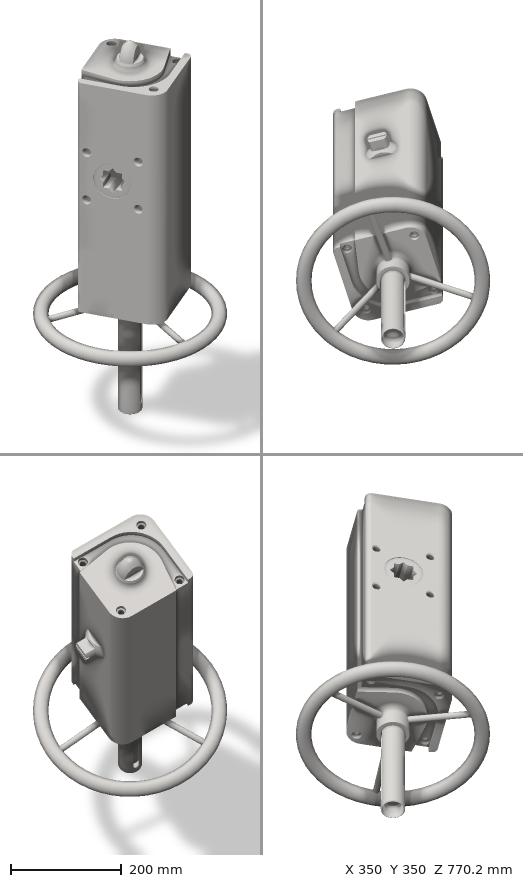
import cadquery as cq
import math

HOUSING_LENGTH = 480.0
PINION_TO_TOP = 193.0
TOP_Z = PINION_TO_TOP
BOTTOM_Z = TOP_Z - HOUSING_LENGTH
NEAR_SIDE = 75.5
NEAR_STEP = 69.0
FAR_SIDE = 95.0
BIG_CORNER_RADIUS = 30.0
SMALL_CORNER_RADIUS = 10.0

CHANNEL_DEPTH = 12.0
PLATEAU_RADIUS = 62.5
PLATEAU_TILT = math.radians(10)
CHANNEL_OUTER_SIDE = 80.0
CHANNEL_OUTER_RADIUS = 70.0

SCREW_OFFSET = 7.5
SCREW_HALF_PITCH = 63.0
SCREW_HEAD_DIAMETER = 18.0
SCREW_HEAD_DEPTH = 8.0
SCREW_CORE_DIAMETER = 11.45
SCREW_DEPTH = 25.0

MOUNT_CIRCLE_DIAMETER = 140.0
MOUNT_HALF_PITCH = MOUNT_CIRCLE_DIAMETER / 2 * math.sin(math.radians(45))
MOUNT_CORE_DIAMETER = 13.84
MOUNT_RIM_DIAMETER = 18.0
MOUNT_DEPTH = 24.0
DRILL_POINT_SLOPE = math.radians(31)
DRILL_POINT_DEPTH = MOUNT_CORE_DIAMETER / 2 * math.tan(DRILL_POINT_SLOPE)

KNOB_DIAMETER = 53.0
KNOB_BLEND_RADIUS = 8.0
KNOB_BASE_HEIGHT = 13.5
KNOB_TIP_HEIGHT = 44.7
KNOB_HEIGHT = 47.7
KNOB_TIP_DIAMETER = 13.84
KNOB_LEDGE_RADIUS = 24.0
KNOB_MID_RADIUS = 17.3
KNOB_MID_HEIGHT = 33.0
GRIP_WIDTH = 26.0

HUB_DIAMETER = 60.0
HUB_BLEND_DIAMETER = 75.6
HUB_BLEND_RADIUS = (HUB_BLEND_DIAMETER - HUB_DIAMETER) / 2
RIM_OUTER_DIAMETER = 350.0
RIM_SECTION_DIAMETER = 28.0
RIM_RADIUS = (RIM_OUTER_DIAMETER - RIM_SECTION_DIAMETER) / 2
RIM_Z = BOTTOM_Z - 43.3
RIM_SEAM_ANGLE = 30.0
HUB_BOTTOM_Z = RIM_Z
SPOKE_DIAMETER = 12.0
SPOKE_COUNT = 3
SPOKE_FIRST_ANGLE = 90.0
SPOKE_START_RADIUS = 20.0
SPOKE_START_Z = BOTTOM_Z - 13.0
SPOKE_END_Z = RIM_Z + 1.0
STEM_DIAMETER = 44.0
STEM_BORE_DIAMETER = 40.0
STEM_LENGTH = 242.5
STEM_BOTTOM_Z = BOTTOM_Z - STEM_LENGTH
STEM_CHAMFER = 1.5
ROD_DIAMETER = 39.0
ROD_END_GAP = 31.5
SLOT_WIDTH = 12.0
SLOT_END_GAP = 17.0

PINION_DIAMETER = 72.0
PINION_RECESS = 1.5
PINION_FRONT_Y = PINION_RECESS - FAR_SIDE
NECK_DIAMETER = 44.0
NECK_LENGTH = 20.0
SQUARE_ACROSS_FLATS = 36.0
SQUARE_DEPTH = 40.0
COLLAR_BASE_DIAMETER = 60.0
COLLAR_FLAT_WIDTH = 40.0
COLLAR_HEIGHT = 10.0
DRIVE_DIAMETER = 36.0
DRIVE_ACROSS_FLATS = 24.0
PINION_PROJECTION = 30.0
SCREW_SLOT_WIDTH = 4.0
SCREW_SLOT_DEPTH = 6.0


def cylinder_along_y(diameter, start_y, end_y):
    base = cq.Workplane("XZ", origin=(0, start_y, 0))
    return base.circle(diameter / 2).extrude(start_y - end_y)


def cylinder_along_z(diameter, start_z, end_z):
    return cq.Workplane("XY", origin=(0, 0, start_z)).circle(diameter / 2).extrude(end_z - start_z)


TANGENT_LONG = PLATEAU_RADIUS * math.cos(PLATEAU_TILT)
TANGENT_SHORT = PLATEAU_RADIUS * math.sin(PLATEAU_TILT)
ARC_MID = PLATEAU_RADIUS * math.sin(math.radians(45))


def wall_offset(distance):
    """Distance of the tilted wall from the axis, measured `distance` along the side."""
    return TANGENT_LONG - (distance - TANGENT_SHORT) * math.tan(PLATEAU_TILT)


def housing_block():
    step_near = wall_offset(NEAR_SIDE)
    step_far = wall_offset(NEAR_STEP)
    outline = [
        (-NEAR_SIDE, NEAR_SIDE),
        (step_near, NEAR_SIDE),
        (step_far, NEAR_STEP),
        (FAR_SIDE, NEAR_STEP),
        (FAR_SIDE, -FAR_SIDE),
        (-NEAR_STEP, -FAR_SIDE),
        (-NEAR_STEP, -step_far),
        (-NEAR_SIDE, -step_near),
    ]
    block = cq.Workplane("XY", origin=(0, 0, BOTTOM_Z)).polyline(outline).close().extrude(HOUSING_LENGTH)
    big = [(-NEAR_SIDE, NEAR_SIDE), (FAR_SIDE, -FAR_SIDE)]
    small = [(FAR_SIDE, NEAR_STEP), (-NEAR_STEP, -FAR_SIDE)]
    for corners, radius in ((big, BIG_CORNER_RADIUS), (small, SMALL_CORNER_RADIUS)):
        for x, y in corners:
            middle = (x, y, (TOP_Z + BOTTOM_Z) / 2)
            block = block.edges(cq.selectors.NearestToPointSelector(middle)).fillet(radius)
    return block


def end_channel(floor_z):
    inner_end = wall_offset(FAR_SIDE)
    centre = CHANNEL_OUTER_SIDE - CHANNEL_OUTER_RADIUS
    outer_mid = centre + CHANNEL_OUTER_RADIUS * math.sin(math.radians(45))
    return (
        cq.Workplane("XY", origin=(0, 0, floor_z))
        .moveTo(inner_end, FAR_SIDE)
        .lineTo(TANGENT_LONG, TANGENT_SHORT)
        .threePointArc((ARC_MID, -ARC_MID), (-TANGENT_SHORT, -TANGENT_LONG))
        .lineTo(-FAR_SIDE, -inner_end)
        .lineTo(-FAR_SIDE, -CHANNEL_OUTER_SIDE)
        .lineTo(centre, -CHANNEL_OUTER_SIDE)
        .threePointArc((outer_mid, -outer_mid), (CHANNEL_OUTER_SIDE, -centre))
        .lineTo(CHANNEL_OUTER_SIDE, FAR_SIDE)
        .close()
        .extrude(CHANNEL_DEPTH)
    )


def end_screw_holes():
    """Stepped holes in both ends; two of the four start at the channel floor."""
    holes = cq.Workplane("XY")
    for end_z, inward in ((TOP_Z, -1), (BOTTOM_Z, 1)):
        for side_x in (-1, 1):
            for side_y in (-1, 1):
                x = SCREW_OFFSET + side_x * SCREW_HALF_PITCH
                y = -SCREW_OFFSET + side_y * SCREW_HALF_PITCH
                in_channel = side_x == side_y
                start_z = end_z + inward * CHANNEL_DEPTH * in_channel
                base = cq.Workplane("XY", origin=(x, y, start_z))
                holes = holes.add(base.circle(SCREW_HEAD_DIAMETER / 2).extrude(inward * SCREW_HEAD_DEPTH))
                holes = holes.add(base.circle(SCREW_CORE_DIAMETER / 2).extrude(inward * SCREW_DEPTH))
    return holes.combine()


def mounting_holes():
    core = MOUNT_CORE_DIAMETER / 2
    rim = MOUNT_RIM_DIAMETER / 2
    profile = [
        (0, 0),
        (rim, 0),
        (core, rim - core),
        (core, MOUNT_DEPTH),
        (0, MOUNT_DEPTH + DRILL_POINT_DEPTH),
    ]
    hole = cq.Workplane("XY").polyline(profile).close().revolve(360, (0, 0, 0), (0, 1, 0))
    holes = cq.Workplane("XY")
    for x in (-MOUNT_HALF_PITCH, MOUNT_HALF_PITCH):
        for z in (-MOUNT_HALF_PITCH, MOUNT_HALF_PITCH):
            holes = holes.add(hole.translate((x, -FAR_SIDE, z)))
    return holes


def knob():
    """Domed knob with a concave foot, cut back on both sides to leave a grip."""
    radius = KNOB_DIAMETER / 2
    foot = radius + KNOB_BLEND_RADIUS
    blend_mid = KNOB_BLEND_RADIUS * (1 - math.sin(math.radians(45)))
    tip = KNOB_TIP_DIAMETER / 2
    crown_rise = KNOB_HEIGHT - KNOB_TIP_HEIGHT
    crown_radius = (tip**2 + crown_rise**2) / (2 * crown_rise)
    crown_mid = tip / 2
    crown_mid_height = KNOB_HEIGHT - crown_radius + math.sqrt(crown_radius**2 - crown_mid**2)
    body = (
        cq.Workplane("XZ", origin=(0, 0, TOP_Z))
        .lineTo(foot, 0)
        .threePointArc((radius + blend_mid, blend_mid), (radius, KNOB_BLEND_RADIUS))
        .lineTo(KNOB_LEDGE_RADIUS, KNOB_BASE_HEIGHT)
        .threePointArc((KNOB_MID_RADIUS, KNOB_MID_HEIGHT), (tip, KNOB_TIP_HEIGHT))
        .threePointArc((crown_mid, crown_mid_height), (0, KNOB_HEIGHT))
        .close()
        .revolve(360, (0, 0, 0), (0, 1, 0))
    )
    for side in (-1, 1):
        relief = cq.Workplane("XY").box(KNOB_DIAMETER, KNOB_DIAMETER, KNOB_HEIGHT, centered=(True, True, False))
        relief_x = side * (GRIP_WIDTH + KNOB_DIAMETER) / 2
        body = body.cut(relief.translate((relief_x, 0, TOP_Z + KNOB_BASE_HEIGHT)))
    return body


def hub():
    radius = HUB_DIAMETER / 2
    blend_mid = HUB_BLEND_RADIUS * (1 - math.sin(math.radians(45)))
    return (
        cq.Workplane("XZ", origin=(0, 0, BOTTOM_Z))
        .lineTo(HUB_BLEND_DIAMETER / 2, 0)
        .threePointArc((radius + blend_mid, -blend_mid), (radius, -HUB_BLEND_RADIUS))
        .lineTo(radius, HUB_BOTTOM_Z - BOTTOM_Z)
        .lineTo(0, HUB_BOTTOM_Z - BOTTOM_Z)
        .close()
        .revolve(360, (0, 0, 0), (0, 1, 0))
    )


def handwheel_rim():
    section = cq.Workplane("XZ").moveTo(RIM_RADIUS, RIM_Z).circle(RIM_SECTION_DIAMETER / 2)
    return section.revolve(360, (0, 0, 0), (0, 1, 0)).rotate((0, 0, 0), (0, 0, 1), RIM_SEAM_ANGLE)


def spoke(angle):
    run = RIM_RADIUS - SPOKE_START_RADIUS
    drop = SPOKE_END_Z - SPOKE_START_Z
    start = cq.Vector(SPOKE_START_RADIUS, 0, SPOKE_START_Z)
    bar = cq.Solid.makeCylinder(SPOKE_DIAMETER / 2, math.hypot(run, drop), start, cq.Vector(run, 0, drop))
    return cq.Workplane(bar).rotate((0, 0, 0), (0, 0, 1), angle)


def stem():
    """Slotted tube around a shorter rod; both hang from the hub."""
    tube = cylinder_along_z(STEM_DIAMETER, STEM_BOTTOM_Z, HUB_BOTTOM_Z).faces("<Z").chamfer(STEM_CHAMFER)
    tube = tube.cut(cylinder_along_z(STEM_BORE_DIAMETER, STEM_BOTTOM_Z, HUB_BOTTOM_Z))
    slot_round_z = STEM_BOTTOM_Z + SLOT_END_GAP + SLOT_WIDTH / 2
    slot_length = HUB_BOTTOM_Z - slot_round_z
    slot = cq.Workplane("XY").box(STEM_DIAMETER, SLOT_WIDTH, slot_length, centered=(True, True, False))
    slot = slot.translate((0, 0, slot_round_z))
    slot_end = cq.Workplane("YZ", origin=(0, 0, slot_round_z)).circle(SLOT_WIDTH / 2)
    tube = tube.cut(slot).cut(slot_end.extrude(STEM_DIAMETER / 2, both=True))
    rod = cylinder_along_z(ROD_DIAMETER, STEM_BOTTOM_Z + ROD_END_GAP, HUB_BOTTOM_Z)
    return tube.add(rod)


def pinion_bore():
    step_y = NEAR_SIDE - NECK_LENGTH
    bore = cylinder_along_y(PINION_DIAMETER, -FAR_SIDE, step_y)
    return bore.union(cylinder_along_y(NECK_DIAMETER, step_y, NEAR_SIDE))


def make_housing():
    body = housing_block()
    for floor_z in (TOP_Z - CHANNEL_DEPTH, BOTTOM_Z):
        body = body.cut(end_channel(floor_z))
    body = body.cut(end_screw_holes()).cut(mounting_holes()).cut(pinion_bore())
    wheel = hub().union(handwheel_rim())
    for index in range(SPOKE_COUNT):
        wheel = wheel.union(spoke(SPOKE_FIRST_ANGLE + index * 360 / SPOKE_COUNT))
    for piece in stem().vals():
        wheel = wheel.union(cq.Workplane(piece))
    return body.union(knob()).union(wheel)


def pinion_collar():
    """Conical collar with a flat above and below."""
    base = cq.Workplane("XZ", origin=(0, NEAR_SIDE, 0)).circle(COLLAR_BASE_DIAMETER / 2)
    cone = base.workplane(offset=-COLLAR_HEIGHT).circle(DRIVE_DIAMETER / 2).loft()
    slab = cq.Workplane("XY").box(COLLAR_BASE_DIAMETER, 2 * FAR_SIDE, COLLAR_FLAT_WIDTH)
    slab = slab.translate((0, NEAR_SIDE, 0))
    return cone.intersect(slab)


def pinion_drive():
    """Flatted end with a screwdriver slot across it."""
    tip_y = NEAR_SIDE + PINION_PROJECTION
    drive = cylinder_along_y(DRIVE_DIAMETER, NEAR_SIDE, tip_y)
    flats = cq.Workplane("XY").box(DRIVE_DIAMETER, 2 * PINION_PROJECTION, DRIVE_ACROSS_FLATS)
    slot = cq.Workplane("XY").box(DRIVE_DIAMETER, 2 * SCREW_SLOT_DEPTH, SCREW_SLOT_WIDTH)
    return drive.intersect(flats.translate((0, tip_y, 0))).cut(slot.translate((0, tip_y, 0)))


def make_pinion():
    step_y = NEAR_SIDE - NECK_LENGTH
    shaft = cylinder_along_y(PINION_DIAMETER, PINION_FRONT_Y, step_y)
    shaft = shaft.union(cylinder_along_y(NECK_DIAMETER, step_y, NEAR_SIDE))
    shaft = shaft.union(pinion_collar()).union(pinion_drive())
    for angle in (0, 45):
        square = cq.Workplane("XY").box(SQUARE_ACROSS_FLATS, 2 * SQUARE_DEPTH, SQUARE_ACROSS_FLATS)
        square = square.rotate((0, 0, 0), (0, 1, 0), angle)
        shaft = shaft.cut(square.translate((0, PINION_FRONT_Y, 0)))
    return shaft


housing = make_housing()
pinion = make_pinion()

result = cq.Compound.makeCompound([housing.val(), pinion.val()])